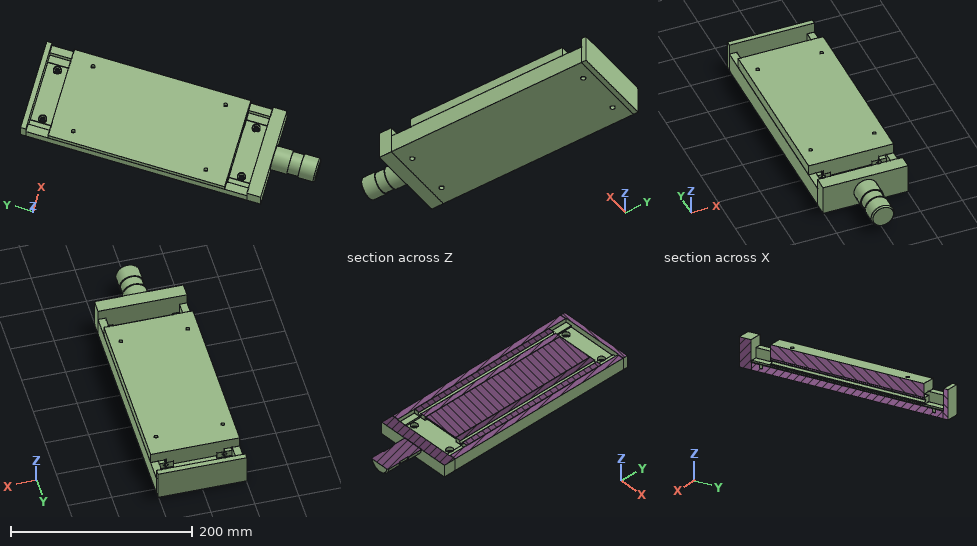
import cadquery as cq


width = 101.7
base_length = 254.0
base_height = 24.0
table_length = 203.0
table_thickness = 12.8
plate_height = base_height + table_thickness
front_plate_thickness = 16.0
rear_plate_thickness = 6.2

wall_thickness = 8.8
rail_width = 8.2
rail_height = 8.0
rail_gap = 1.0
rail_top = 19.3
rail_bottom = rail_top - rail_height
rail_groove_depth = 2.3
outer_rail_face = width / 2 - wall_thickness
inner_rail_outer_face = outer_rail_face - rail_width - rail_gap
inner_rail_inner_face = inner_rail_outer_face - rail_width

ledge_face = outer_rail_face - rail_width
floor_height = 9.5
keel_bottom = 15.5

mount_pitch_x = 57.2
mount_pitch_y = 228.5
mount_hole_diameter = 5.5
counterbore_diameter = 8.8
counterbore_depth = 4.5

table_hole_pitch_x = 76.2
table_hole_pitch_y = 152.5
table_hole_diameter = 4.0

knob_diameter = 27.8
knob_waist_diameter = 25.5
collar_length = 19.0
waist_length = 12.8
grip_length = 19.0
knob_chamfer = 1.5


def block(x_min, x_max, y_center, y_length, z_min, z_max):
    """Box given by its X range, its centre and length along Y, and its Z range."""
    box = cq.Workplane("XY").box(x_max - x_min, y_length, z_max - z_min)
    return box.translate(((x_min + x_max) / 2, y_center, (z_min + z_max) / 2))


def make_base():
    """Open channel whose ledges carry the outer rails, with four counterbored holes in its floor."""
    base = block(-width / 2, width / 2, 0, base_length, 0, base_height)
    rail_channel = block(-outer_rail_face, outer_rail_face, 0, base_length, rail_bottom, base_height)
    floor_channel = block(-ledge_face, ledge_face, 0, base_length, floor_height, base_height)
    return (
        base.cut(rail_channel)
        .cut(floor_channel)
        .copyWorkplane(cq.Workplane("XY", origin=(0, 0, floor_height)))
        .rarray(mount_pitch_x, mount_pitch_y, 2, 2)
        .cboreHole(mount_hole_diameter, counterbore_diameter, counterbore_depth)
    )


def make_table():
    """Full-width top plate over a neck above the inner rails and a keel between them."""
    table = block(-width / 2, width / 2, 0, table_length, base_height, plate_height)
    neck = block(-inner_rail_outer_face, inner_rail_outer_face, 0, table_length, rail_top, base_height)
    keel = block(-inner_rail_inner_face, inner_rail_inner_face, 0, table_length, keel_bottom, rail_top)
    return (
        table.faces(">Z").workplane()
        .rarray(table_hole_pitch_x, table_hole_pitch_y, 2, 2)
        .hole(table_hole_diameter, table_thickness)
        .union(neck)
        .union(keel)
    )


def make_rail(back_x, groove_direction):
    """Rail whose back is at back_x; its V groove is on the face towards groove_direction (+1 or -1)."""
    groove_face_x = back_x + groove_direction * rail_width
    groove_bottom_x = groove_face_x - groove_direction * rail_groove_depth
    middle_z = (rail_bottom + rail_top) / 2
    return (
        cq.Workplane("XZ")
        .moveTo(back_x, rail_bottom)
        .lineTo(groove_face_x, rail_bottom)
        .lineTo(groove_face_x, middle_z - rail_groove_depth)
        .lineTo(groove_bottom_x, middle_z)
        .lineTo(groove_face_x, middle_z + rail_groove_depth)
        .lineTo(groove_face_x, rail_top)
        .lineTo(back_x, rail_top)
        .close()
        .extrude(table_length / 2, both=True)
    )


def make_end_plate(thickness, y_center):
    """Plain plate closing one end of the base."""
    return block(-width / 2, width / 2, y_center, thickness, 0, plate_height)


def make_knob():
    """Turned knob on the front plate: collar, waist and chamfered grip."""
    outer_radius = knob_diameter / 2
    waist_radius = knob_waist_diameter / 2
    collar_end = -collar_length
    waist_end = collar_end - waist_length
    grip_end = waist_end - grip_length
    front_face_y = -base_length / 2 - front_plate_thickness
    return (
        cq.Workplane("XY", origin=(0, front_face_y, plate_height / 2))
        .lineTo(-outer_radius, 0)
        .lineTo(-outer_radius, collar_end)
        .lineTo(-waist_radius, collar_end)
        .lineTo(-waist_radius, waist_end)
        .lineTo(-outer_radius, waist_end)
        .lineTo(-outer_radius, grip_end + knob_chamfer)
        .lineTo(-outer_radius + knob_chamfer, grip_end)
        .lineTo(0, grip_end)
        .close()
        .revolve(360, (0, 0, 0), (0, 1, 0))
    )


base = make_base()
table = make_table()
front_plate = make_end_plate(front_plate_thickness, -(base_length + front_plate_thickness) / 2)
rear_plate = make_end_plate(rear_plate_thickness, (base_length + rear_plate_thickness) / 2)
knob = make_knob()

rails = []
for side in (-1, 1):
    rails.append(make_rail(side * outer_rail_face, -side).val())
    rails.append(make_rail(side * inner_rail_inner_face, side).val())

result = cq.Compound.makeCompound(
    [base.val(), table.val(), front_plate.val(), rear_plate.val(), knob.val(), *rails]
)